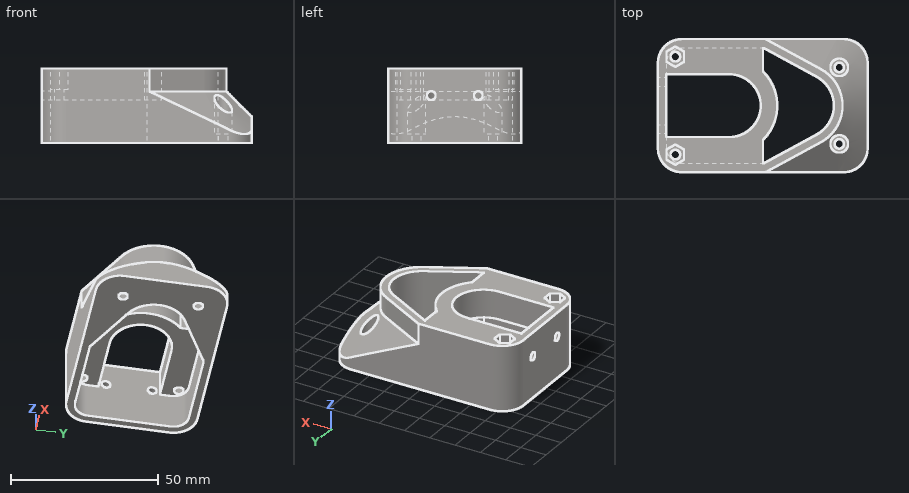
import cadquery as cq
import math

length, width, height = 71.4, 45.3, 25.4
corner_radius = 8.3
wall = 3.0
deck_thickness = 10.8
deck_bottom_z = height - deck_thickness

nose_start_x = 36.55
nose_center_x = 48.7
nose_radius = 14.1
slope_top_z = 17.55
skirt_slope = 45

slot_start_x = wall
slot_center_x = 24.35
slot_radius = 10.6

rim_radius = 16.35

nut_x, nut_y = 6.0, 16.6
nut_hole_diameter = 3.2
nut_flats = 6.0
nut_depth = 7.15

skirt_hole_x, skirt_hole_y = 61.7, 13.0
skirt_hole_diameter = 3.15
counterbore_diameter = 6.0
counterbore_floor_z = wall

end_hole_y, end_hole_z = 8.0, 16.1
end_hole_diameter = 3.0

reach_x = nose_center_x - nose_start_x
reach_y = width / 2
flank_angle = math.atan2(reach_y, reach_x) - math.asin(nose_radius / math.hypot(reach_x, reach_y))

pocket_start_x = nose_start_x - wall * math.tan(flank_angle / 2)


def nose_outline(start_x, radius, plane_z):
    """Closed nose profile of the given tip radius, cut off square at start_x."""
    normal_x, normal_y = math.sin(flank_angle), math.cos(flank_angle)
    tangent_x = nose_center_x + radius * normal_x
    tangent_y = radius * normal_y
    start_y = tangent_y + (tangent_x - start_x) * math.tan(flank_angle)
    return (
        cq.Workplane("XY", origin=(0, 0, plane_z))
        .moveTo(start_x, -start_y)
        .lineTo(tangent_x, -tangent_y)
        .threePointArc((nose_center_x + radius, 0), (tangent_x, tangent_y))
        .lineTo(start_x, start_y)
        .close()
    )


def rounded_block(inset, block_height):
    """Body block with every side moved inward by the inset."""
    return (
        cq.Workplane("XY")
        .box(length - 2 * inset, width - 2 * inset, block_height, centered=(False, True, False))
        .edges("|Z")
        .fillet(corner_radius - inset)
        .translate((inset, 0, 0))
    )


def body():
    nose = nose_outline(0, nose_radius, slope_top_z).extrude(height - slope_top_z)
    skirt = nose_outline(-slope_top_z, nose_radius + slope_top_z, 0).extrude(slope_top_z, taper=skirt_slope)
    return rounded_block(0, height).intersect(nose.union(skirt))


def underside_hollow():
    inner_nose = nose_outline(0, nose_radius - wall, 0).extrude(deck_bottom_z)
    return rounded_block(wall, deck_bottom_z).intersect(inner_nose)


def slot():
    straight = slot_center_x - slot_start_x
    box = cq.Workplane("XY").box(straight, 2 * slot_radius, height, centered=(False, True, False))
    end = cq.Workplane("XY").center(slot_center_x, 0).circle(slot_radius).extrude(height)
    return box.translate((slot_start_x, 0, 0)).union(end)


def nose_pocket():
    rim = cq.Workplane("XY").center(slot_center_x, 0).circle(rim_radius).extrude(height)
    return nose_outline(pocket_start_x, nose_radius - wall, 0).extrude(height).cut(rim)


def round_holes(x, y, diameter, bottom_z):
    return (
        cq.Workplane("XY", origin=(0, 0, bottom_z))
        .pushPoints([(x, -y), (x, y)])
        .circle(diameter / 2)
        .extrude(height)
    )


def nut_pockets():
    across_corners = nut_flats / math.cos(math.pi / 6)
    hexagon = (
        cq.Workplane("XY", origin=(0, 0, height - nut_depth))
        .polygon(6, across_corners)
        .extrude(nut_depth)
        .rotate((0, 0, 0), (0, 0, 1), 30)
    )
    return hexagon.translate((nut_x, -nut_y, 0)).union(hexagon.translate((nut_x, nut_y, 0)))


def end_holes():
    return (
        cq.Workplane("YZ")
        .pushPoints([(-end_hole_y, end_hole_z), (end_hole_y, end_hole_z)])
        .circle(end_hole_diameter / 2)
        .extrude(slot_center_x)
    )


result = (
    body()
    .cut(underside_hollow())
    .cut(slot())
    .cut(nose_pocket())
    .cut(round_holes(nut_x, nut_y, nut_hole_diameter, 0))
    .cut(nut_pockets())
    .cut(round_holes(skirt_hole_x, skirt_hole_y, skirt_hole_diameter, 0))
    .cut(round_holes(skirt_hole_x, skirt_hole_y, counterbore_diameter, counterbore_floor_z))
    .cut(end_holes())
)